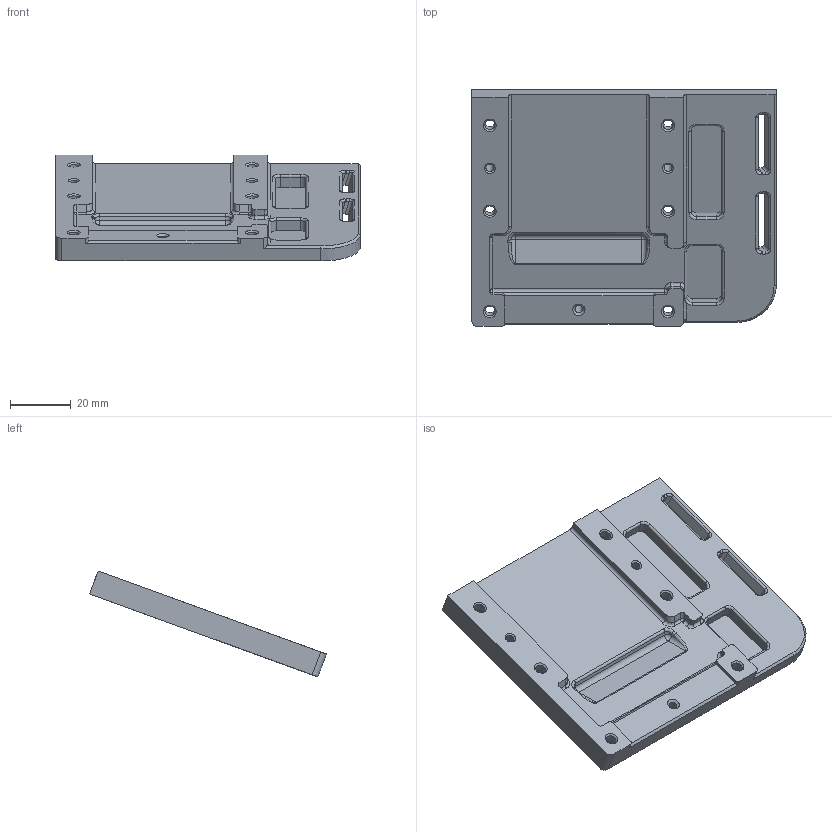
import cadquery as cq
import math


TILT = 20.0
WIDTH = 100.0
LENGTH = 79.73
THICKNESS = 8.0
FRONT_LEFT_RADIUS = 2.0
FRONT_RIGHT_RADIUS = 13.0
EDGE_CHAMFER = 0.75

PAD_HEIGHT = 3.0
FLOOR_Z = THICKNESS - PAD_HEIGHT
PAD_FOOT_FILLET = 1.0
PAD_CORNER_RADIUS = 1.0
CHANNEL_CORNER_RADIUS = 2.0
PAD_FRONT_CORNER_RADIUS = 1.4
CHANNEL_CENTER_X = 35.2
CHANNEL_WIDTH = 46.4
CHANNEL_LEFT = CHANNEL_CENTER_X - CHANNEL_WIDTH / 2
CHANNEL_RIGHT = CHANNEL_CENTER_X + CHANNEL_WIDTH / 2
PAD_RIGHT = 69.5
CROSS_HALF_WIDTH = 29.2
CROSS_LEFT = CHANNEL_CENTER_X - CROSS_HALF_WIDTH
CROSS_RIGHT = CHANNEL_CENTER_X + CROSS_HALF_WIDTH
CROSS_FRONT = 11.0
CROSS_BACK = 32.3
MOUTH_FRONT = 13.15
MOUTH_BACK = 27.3

OVERHANG = 5.0

EDGE_REACH = 0.05

STEP_DEPTH = 1.1
STEP_HALF_LENGTH = 24.35
STEP_END_RADIUS = 1.0

WEDGE_FRONT = 20.6
WEDGE_RUN = 9.8
WEDGE_HALF_LENGTH = 22.3
WEDGE_FILLET = 1.6
WEDGE_RIM_FILLET = 1.0

RIM_FILLET = 0.75

POCKET_RIGHT = 82.1
POCKET_SPANS = [(72.05, 36.9, 68.7), (70.65, 7.0, 26.9)]
POCKET_DEPTH = 4.3
POCKET_RADIUS = 1.75

SLOT_LEFT = 94.3
SLOT_WIDTH = 3.35
SLOT_FRONTS = (24.9, 52.5)
SLOT_LENGTH = 20.2
SLOT_RADIUS = 1.0
SLOT_LEAN = 17.3

HOLE_OFFSET_X = 29.25
SCREW_HOLE_YS = (5.2, 40.2, 70.2)
SCREW_HOLE_DIAMETER = 3.3
SCREW_HEAD_DIAMETER = 7.0
SCREW_HEAD_DEPTH = 4.8
PIN_HOLE_Y = 55.2
FRONT_PIN_HOLE_Y = 5.4
PIN_HOLE_DIAMETER = 2.6
HOLE_CHAMFER = 0.5
FRONT_HOLE_CHAMFER = 0.7


def block(x0, x1, y0, y1, z0, z1):
    return cq.Workplane("XY").box(x1 - x0, y1 - y0, z1 - z0, centered=False).translate((x0, y0, z0))


def x_prism(profile, x0, x1):
    """Prism along X on a profile of (y, z) points."""
    return cq.Workplane("YZ").workplane(offset=x0).polyline(profile).close().extrude(x1 - x0)


def plate_prism(height):
    plate = block(0, WIDTH, 0, LENGTH, 0, height)
    plate = plate.edges("|Z and <X and <Y").fillet(FRONT_LEFT_RADIUS)
    return plate.edges("|Z and >X and <Y").fillet(FRONT_RIGHT_RADIUS)


def near_point(x, y, z):
    """Selects the edges whose middle lies at a point."""
    low = (x - EDGE_REACH, y - EDGE_REACH, z - EDGE_REACH)
    high = (x + EDGE_REACH, y + EDGE_REACH, z + EDGE_REACH)
    return cq.selectors.BoxSelector(low, high)


def rounded_prism(corners, z0, z1):
    """Prism on a polygon whose corners are (x, y, radius)."""
    outline = [(x, y) for x, y, _ in corners]
    prism = cq.Workplane("XY").workplane(offset=z0).polyline(outline).close().extrude(z1 - z0)
    for x, y, radius in corners:
        if radius:
            prism = prism.edges("|Z").edges(near_point(x, y, (z0 + z1) / 2)).fillet(radius)
    return prism


def pads(z0):
    """Left and front pad, and the pad right of the channel, run past the back and left sides.

    The walls at the back of the cross channel lean so that they stand upright in the tilted plate.
    """
    r = PAD_CORNER_RADIUS
    back = LENGTH + OVERHANG
    foot = CROSS_BACK - (THICKNESS - z0) * math.tan(math.radians(TILT))
    left_and_front = [
        (-OVERHANG, back, 0),
        (CHANNEL_LEFT, back, 0),
        (CHANNEL_LEFT, foot, 0),
        (CROSS_LEFT, foot, 0),
        (CROSS_LEFT, CROSS_FRONT, r),
        (CROSS_RIGHT, CROSS_FRONT, r),
        (CROSS_RIGHT, MOUTH_FRONT, r),
        (PAD_RIGHT, MOUTH_FRONT, r),
        (PAD_RIGHT, 0, PAD_FRONT_CORNER_RADIUS),
        (-OVERHANG, 0, 0),
    ]
    right = [
        (CHANNEL_RIGHT, back, 0),
        (PAD_RIGHT, back, 0),
        (PAD_RIGHT, MOUTH_BACK, r),
        (CROSS_RIGHT, MOUTH_BACK, r),
        (CROSS_RIGHT, foot, 0),
        (CHANNEL_RIGHT, foot, 0),
    ]
    both = rounded_prism(left_and_front, z0, THICKNESS)
    both = both.union(rounded_prism(right, z0, THICKNESS))
    lean = [(foot, z0), (CROSS_BACK, THICKNESS), (foot, THICKNESS)]
    both = both.cut(x_prism(lean, CROSS_LEFT, CROSS_RIGHT))
    mid_y = (foot + CROSS_BACK) / 2
    mid_z = (z0 + THICKNESS) / 2
    leaning_edges = [
        (CROSS_LEFT, r),
        (CHANNEL_LEFT, CHANNEL_CORNER_RADIUS),
        (CHANNEL_RIGHT, CHANNEL_CORNER_RADIUS),
        (CROSS_RIGHT, r),
    ]
    for x, radius in leaning_edges:
        both = both.edges(near_point(x, mid_y, mid_z)).fillet(radius)
    return both


def floor_edges(x0, x1, y0, y1):
    """Selects the edges on the plate floor inside a rectangle."""
    low = (x0 - EDGE_REACH, y0 - EDGE_REACH, FLOOR_Z - EDGE_REACH)
    high = (x1 + EDGE_REACH, y1 + EDGE_REACH, FLOOR_Z + EDGE_REACH)
    return cq.selectors.BoxSelector(low, high)


def pocket_prism(left, front, back, margin):
    """Pocket space, widened all round by a margin."""
    prism = block(
        left - margin, POCKET_RIGHT + margin, front - margin, back + margin, FLOOR_Z - POCKET_DEPTH, THICKNESS
    )
    return prism.edges("|Z").fillet(POCKET_RADIUS + margin)


def filleted_pads():
    """Pads above the floor with a fillet along their foot, kept clear of the pocket rims."""
    margin = 2 * OVERHANG
    slab_back = LENGTH + margin
    slab = block(-margin, WIDTH, -margin, slab_back, 0, FLOOR_Z)
    raised = slab.union(pads(FLOOR_Z))
    foot = floor_edges(-OVERHANG, PAD_RIGHT, 0, LENGTH + OVERHANG)
    raised = raised.edges(foot).fillet(PAD_FOOT_FILLET)
    raised = raised.intersect(block(-margin, WIDTH, -margin, slab_back, FLOOR_Z, THICKNESS))
    for left, front, back in POCKET_SPANS:
        raised = raised.cut(pocket_prism(left, front, back, RIM_FILLET))
    return raised


def cut_pockets(body):
    for left, front, back in POCKET_SPANS:
        body = body.cut(pocket_prism(left, front, back, 0))
        body = body.edges(floor_edges(left, POCKET_RIGHT, front, back)).fillet(RIM_FILLET)
    return body


def cut_slots(body):
    right = SLOT_LEFT + SLOT_WIDTH
    half_height = 2 * THICKNESS
    lean = math.radians(SLOT_LEAN)
    for front in SLOT_FRONTS:
        back = front + SLOT_LENGTH
        slot = block(0, SLOT_WIDTH * math.cos(lean), front, back, -half_height, half_height)
        slot = slot.edges("|Z").fillet(SLOT_RADIUS)
        slot = slot.rotate((0, 0, 0), (0, 1, 0), SLOT_LEAN)
        body = body.cut(slot.translate((SLOT_LEFT, 0, FLOOR_Z)))
        body = body.edges(floor_edges(SLOT_LEFT, right, front, back)).fillet(RIM_FILLET)
    return body


def cut_wedge(body):
    x0 = CHANNEL_CENTER_X - WEDGE_HALF_LENGTH
    x1 = CHANNEL_CENTER_X + WEDGE_HALF_LENGTH
    tool = block(x0, x1, -OVERHANG, WEDGE_RUN, 0, 2 * THICKNESS)
    tool = tool.edges("|Z and >Y").fillet(WEDGE_FILLET)
    tool = tool.faces("<Z").edges("not <Y").fillet(WEDGE_FILLET)
    tool = tool.rotate((0, 0, 0), (1, 0, 0), -TILT).translate((0, WEDGE_FRONT, FLOOR_Z))
    body = body.cut(tool)
    rim = floor_edges(x0, x1, WEDGE_FRONT, CROSS_BACK)
    return body.edges(rim).edges("not (|X and <Y)").fillet(WEDGE_RIM_FILLET)


def cut_front_bevel(body):
    """Carries the bevel of the front edge through the foot fillet, up to the pad corner."""
    rise = PAD_HEIGHT + EDGE_CHAMFER
    profile = [(0, THICKNESS), (0, THICKNESS - rise), (rise, THICKNESS)]
    bevel = x_prism(profile, PAD_RIGHT - PAD_FRONT_CORNER_RADIUS, PAD_RIGHT + OVERHANG)
    return body.cut(bevel.cut(pads(0)))


def cut_step(body):
    """Lowers the front pad between two rounded ends and bevels its front and back edges."""
    top = 2 * THICKNESS
    floor = THICKNESS - STEP_DEPTH
    low = floor - EDGE_CHAMFER
    profile = [
        (0, top),
        (0, low),
        (EDGE_CHAMFER, floor),
        (CROSS_FRONT - EDGE_CHAMFER, floor),
        (CROSS_FRONT, low),
        (CROSS_FRONT, top),
    ]
    reach = STEP_HALF_LENGTH + STEP_END_RADIUS
    tool = x_prism(profile, -reach, reach)
    for side in (-1, 1):
        end = block(0, 2 * STEP_END_RADIUS, 0, CROSS_FRONT, 0, top)
        end = end.edges("|Z and <X").fillet(STEP_END_RADIUS)
        end = end.translate((STEP_HALF_LENGTH, 0, 0))
        if side < 0:
            end = end.mirror("YZ")
        tool = tool.cut(end)
    return body.cut(tool.translate((CHANNEL_CENTER_X, 0, 0)))


def cylinder(x, y, z0, z1, diameter):
    return cq.Workplane("XY").workplane(offset=z0).center(x, y).circle(diameter / 2).extrude(z1 - z0)


def through_hole(x, y, top, diameter, chamfer):
    """Hole through the plate with a chamfered mouth at height top."""
    radius = diameter / 2
    mouth = cq.Solid.makeCone(radius, radius + chamfer, chamfer)
    mouth = mouth.translate(cq.Vector(x, y, top - chamfer))
    return cylinder(x, y, 0, top, diameter).union(cq.Workplane(mouth))


def cut_holes(body):
    """Screw holes with head recesses from below, and plain pin holes."""
    for x in (CHANNEL_CENTER_X - HOLE_OFFSET_X, CHANNEL_CENTER_X + HOLE_OFFSET_X):
        for y in SCREW_HOLE_YS:
            body = body.cut(through_hole(x, y, THICKNESS, SCREW_HOLE_DIAMETER, HOLE_CHAMFER))
            body = body.cut(cylinder(x, y, 0, SCREW_HEAD_DEPTH, SCREW_HEAD_DIAMETER))
        body = body.cut(through_hole(x, PIN_HOLE_Y, THICKNESS, PIN_HOLE_DIAMETER, HOLE_CHAMFER))
    step_z = THICKNESS - STEP_DEPTH
    front_hole = through_hole(
        CHANNEL_CENTER_X, FRONT_PIN_HOLE_Y, step_z, PIN_HOLE_DIAMETER, FRONT_HOLE_CHAMFER
    )
    return body.cut(front_hole)


base = plate_prism(FLOOR_Z)
base = base.faces(">Z").edges("not (<X or >Y)").chamfer(EDGE_CHAMFER)
base = cut_pockets(base)
base = cut_slots(base)
base = cut_wedge(base)
raised = pads(FLOOR_Z - EDGE_CHAMFER).union(filleted_pads())
result = base.union(raised.intersect(plate_prism(THICKNESS))).clean()
result = cut_front_bevel(result)
result = cut_step(result)
result = cut_holes(result)
result = result.rotate((0, 0, 0), (1, 0, 0), TILT)